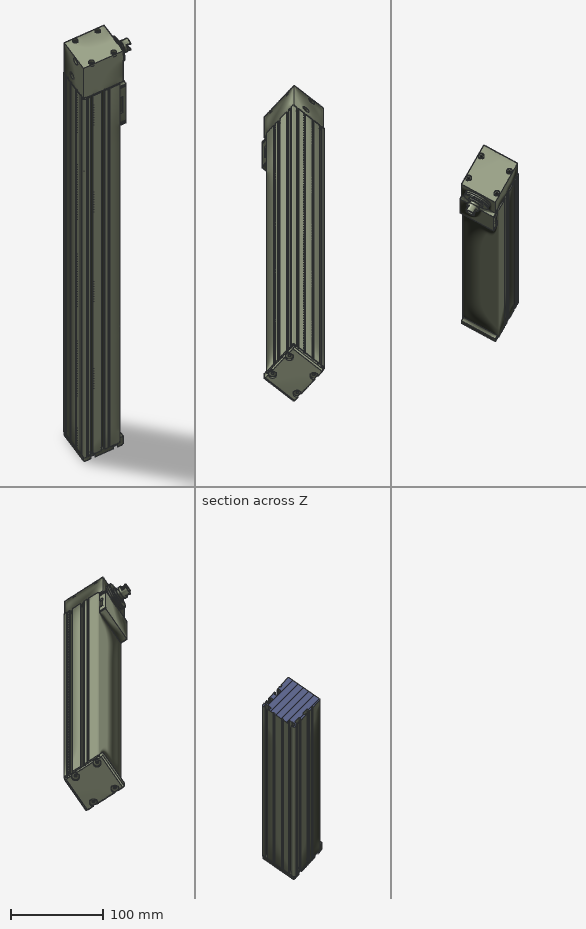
import cadquery as cq
import math

total_height = 665.0
total_depth = 69.4
profile_width = 45.0
profile_depth = 46.0
head_height = 51.5
cap_height = 8.0

end_width = 42.0
end_depth = 50.0
end_front = 0.5
end_back = end_front + end_depth
end_half_width = end_width / 2
end_middle = end_front + end_depth / 2

profile_top = total_height - head_height
profile_height = profile_top - cap_height

screw_x = 17.5
screw_y_spacing = 28.0
screw_offset = 1.0
screw_middle_y = end_middle + screw_offset
screw_points = [
    (side_x * screw_x, screw_middle_y + side_y * screw_y_spacing / 2)
    for side_x in (-1, 1)
    for side_y in (-1, 1)
]
screw_hole_diameter = 3.0

profile_corner_radius = 1.3
front_groove_x = 6.0
front_groove_width = 2.0
front_groove_depth = 1.0
front_slot_x = 16.5
side_slot_ys = (10.0, 23.75)
slot_mouth = 3.5
slot_inner_width = 7.0
slot_lip = 1.5
slot_depth = 4.0
slot_relief_width = 0.8
slot_relief_depth = 0.6
side_step_width = 1.4
side_step_depth = 0.5
side_groove_ys = (5.0, 32.0)
side_groove_width = 2.0
side_groove_depth = 1.0


def recess(width, depth, inset=0.0):
    """Full-length recess in the front face, centred on X = 0 and starting `inset` behind the face."""
    return (
        cq.Workplane("XY")
        .box(width, depth, profile_height, centered=(True, False, False))
        .translate((0, inset, cap_height))
    )


def t_slot():
    """T-slot in the front face, centred on X = 0."""
    return recess(slot_mouth, slot_depth).union(recess(slot_inner_width, slot_depth - slot_lip, slot_lip))


def on_side(cutter, side, y):
    """Move a front-face recess to the left (-1) or right (+1) face at height y along the face."""
    turned = cutter.rotate((0, 0, 0), (0, 0, 1), side * 90)
    return turned.translate((side * profile_width / 2, y, 0))


def make_profile():
    body = (
        cq.Workplane("XY")
        .box(profile_width, profile_depth, profile_height, centered=(True, False, False))
        .translate((0, 0, cap_height))
        .edges("|Z")
        .fillet(profile_corner_radius)
    )
    groove = recess(front_groove_width, front_groove_depth)
    slot_relief = recess(slot_relief_width, slot_relief_depth, slot_depth)
    front_slot = t_slot().union(slot_relief)
    side_groove = recess(side_groove_width, side_groove_depth)
    side_step = recess(side_step_width, side_step_depth)
    side_step_y = max(side_slot_ys) + (slot_mouth + side_step_width) / 2
    for side in (-1, 1):
        body = body.cut(front_slot.translate((side * front_slot_x, 0, 0)))
        body = body.cut(groove.translate((side * front_groove_x, 0, 0)))
        for slot_y in side_slot_ys:
            body = body.cut(on_side(t_slot(), side, slot_y))
        for groove_y in side_groove_ys:
            body = body.cut(on_side(side_groove, side, groove_y))
        body = body.cut(on_side(side_step, side, side_step_y))
    return body


front_hole_x = 4.0
upper_hole_z = total_height - 5.8
lower_hole_z = total_height - 37.8
head_counterbore_diameter = 6.2
head_counterbore_depth = 4.0
front_hole_diameter = 8.5
front_hole_depth = 5.0
front_hole_bore_diameter = 4.5
front_hole_bore_depth = 12.0
front_hole_points = [
    (front_hole_x, upper_hole_z),
    (-front_hole_x, lower_hole_z),
]


def make_head():
    body = (
        cq.Workplane("XY")
        .box(end_width, end_depth, head_height, centered=(True, False, False))
        .translate((0, end_front, profile_top))
    )
    screws = (
        cq.Workplane("XY", origin=(0, 0, total_height))
        .pushPoints(screw_points)
        .circle(head_counterbore_diameter / 2)
        .extrude(-head_counterbore_depth)
        .pushPoints(screw_points)
        .circle(screw_hole_diameter / 2)
        .extrude(-head_height)
    )
    front_holes = (
        cq.Workplane("XZ", origin=(0, end_front, 0))
        .pushPoints(front_hole_points)
        .circle(front_hole_diameter / 2)
        .extrude(-front_hole_depth)
        .pushPoints(front_hole_points)
        .circle(front_hole_bore_diameter / 2)
        .extrude(-front_hole_bore_depth)
    )
    return body.cut(screws).cut(front_holes)


cap_chamfer = 2.0
cap_counterbore_diameter = 8.5
cap_counterbore_depth = 4.0
cap_tab_height = 14.0


def make_cap():
    body = (
        cq.Workplane("XY")
        .box(end_width, end_depth, cap_height, centered=(True, False, False))
        .translate((0, end_front, 0))
    )
    tab_depth = end_back - profile_depth
    tab = (
        cq.Workplane("XY")
        .box(end_width, tab_depth, cap_tab_height, centered=(True, False, False))
        .translate((0, profile_depth, 0))
    )
    body = body.union(tab).edges("|X and <Z").chamfer(cap_chamfer)
    screws = (
        cq.Workplane("XY")
        .pushPoints(screw_points)
        .circle(cap_counterbore_diameter / 2)
        .extrude(cap_counterbore_depth)
        .pushPoints(screw_points)
        .circle(screw_hole_diameter / 2)
        .extrude(cap_height)
    )
    return body.cut(screws)


carriage_thickness = 8.0
carriage_length = 66.0
carriage_top = total_height - 57.5
carriage_recess_length = 27.0
carriage_recess_depth = 1.5
carriage_recess_height = 4.0
carriage_recess_ramp = 2.0
carriage_groove_offset = 3.0
carriage_groove_width = 2.0
carriage_groove_depth = 0.5


def carriage_recess(side):
    """Pocket with sloping ends along the profile side of one long side of the carriage."""
    face_x = side * end_half_width
    floor_x = side * (end_half_width - carriage_recess_depth)
    mouth_z = carriage_recess_length / 2
    floor_z = mouth_z - carriage_recess_ramp
    return (
        cq.Workplane("XZ")
        .polyline([(face_x, -mouth_z), (floor_x, -floor_z), (floor_x, floor_z), (face_x, mouth_z)])
        .close()
        .extrude(-carriage_recess_height)
    )


def make_carriage():
    body = cq.Workplane("XY").box(end_width, carriage_thickness, carriage_length, centered=(True, False, True))
    groove = cq.Workplane("XY").box(
        2 * carriage_groove_depth, carriage_thickness, carriage_groove_width, centered=(True, False, True)
    )
    groove_z = carriage_length / 2 - carriage_groove_offset
    for side in (-1, 1):
        body = body.cut(carriage_recess(side))
        for end in (-1, 1):
            body = body.cut(groove.translate((side * end_half_width, 0, end * groove_z)))
    return body.translate((0, profile_depth, carriage_top - carriage_length / 2))


coupling_z = total_height - 21.4
flange_radius = 15.0
flange_back = 56.0
flange_groove_radius = 14.5
flange_groove_start = 52.5
flange_groove_end = 54.5
collar_radius = 9.0
collar_back = 57.7
neck_radius = 6.0
neck_back = 60.8
hub_radius = 7.0
hub_back = 63.8
jaw_inner_radius = 5.0
jaw_neck_half_angle = math.radians(36)
jaw_tip_half_angle = math.radians(45)
jaw_tip_start = total_depth - 1.6
flange_tab_width = 10.0
flange_tab_reach = 19.0
flange_tab_back = 53.0


def disc(radius, start, end):
    """Round step of the coupling between two Y positions."""
    return cq.Workplane("XZ", origin=(0, start, coupling_z)).circle(radius).extrude(start - end)


def ring_sector(direction, half_angle, start, end):
    """Sector of the jaw ring above (+1) or below (-1) the coupling axis, between two Y positions."""

    def ring_point(radius, angle):
        return radius * math.sin(angle), direction * radius * math.cos(angle)

    return (
        cq.Workplane("XZ", origin=(0, start, coupling_z))
        .moveTo(*ring_point(jaw_inner_radius, -half_angle))
        .lineTo(*ring_point(hub_radius, -half_angle))
        .threePointArc(ring_point(hub_radius, 0), ring_point(hub_radius, half_angle))
        .lineTo(*ring_point(jaw_inner_radius, half_angle))
        .threePointArc(ring_point(jaw_inner_radius, 0), ring_point(jaw_inner_radius, -half_angle))
        .close()
        .extrude(start - end)
    )


def jaw(direction):
    """One coupling jaw: a narrow neck on the hub with a wider tip."""
    neck = ring_sector(direction, jaw_neck_half_angle, hub_back, jaw_tip_start)
    return neck.union(ring_sector(direction, jaw_tip_half_angle, jaw_tip_start, total_depth))


def make_coupling():
    tab = (
        cq.Workplane("XY")
        .box(flange_tab_width, flange_tab_back - end_back, flange_tab_reach, centered=(True, False, False))
        .translate((0, end_back, coupling_z - flange_tab_reach))
    )
    body = disc(flange_radius, end_back, flange_groove_start).union(tab)
    body = body.union(disc(flange_groove_radius, flange_groove_start, flange_groove_end))
    body = body.union(disc(flange_radius, flange_groove_end, flange_back))
    body = body.union(disc(collar_radius, flange_back, collar_back))
    body = body.union(disc(neck_radius, collar_back, neck_back))
    body = body.union(disc(hub_radius, neck_back, hub_back))
    return body.union(jaw(1)).union(jaw(-1))


profile = make_profile()
head = make_head()
cap = make_cap()
carriage = make_carriage()
coupling = make_coupling()
bodies = (profile, head, cap, carriage, coupling)
result = cq.Compound.makeCompound([body.solids().val() for body in bodies])